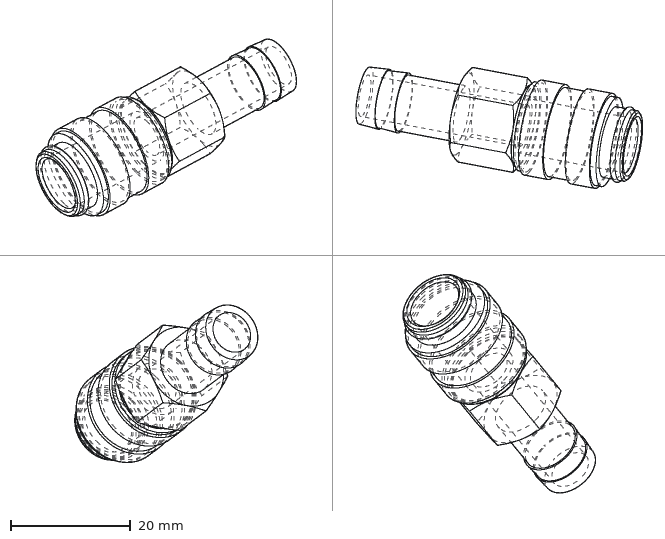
import cadquery as cq
import math

total_length = 47.0

tube_radius = 6.0
tip_chamfer = 0.35
bead_center = 1.6
bead_radius = 0.4

sleeve_start = 4.0
sleeve_end = 18.45
sleeve_radius = 7.6
band_radius = 8.108
band_width = 4.25
band_inset = 1.05
neck_radius = 6.9

nut_start = 19.1
nut_end = 30.0
nut_corner_radius = band_radius
nut_flat_radius = nut_corner_radius * math.cos(math.radians(30))
nut_chamfer_angle = 30

stem_radius = 4.8
barb_count = 2
barb_length = 3.408
barb_small_radius = 4.9
barb_large_radius = 5.1

through_radius = 3.52
socket_radius = 4.6
socket_mouth_radius = 5.08
socket_chamfer = socket_mouth_radius - socket_radius
socket_depth = nut_start


def cylinder(radius, start, end):
    """Cylinder along Y between two positions."""
    return cq.Workplane("XZ", origin=(0, start, 0)).circle(radius).extrude(start - end)


def revolve_profile(points):
    """Turn a closed (radius, Y) outline around the Y axis."""
    return cq.Workplane("XY").polyline(points).close().revolve(360, (0, 0, 0), (0, 1, 0))


def mouth_tube():
    tube = cylinder(tube_radius, 0, sleeve_start).faces("<Y").chamfer(tip_chamfer)
    bead = (
        cq.Workplane("XY")
        .center(tube_radius, bead_center)
        .circle(bead_radius)
        .revolve(360, (-tube_radius, 0, 0), (-tube_radius, 1, 0))
    )
    return tube.union(bead)


def grip_sleeve():
    sleeve = cylinder(sleeve_radius, sleeve_start, sleeve_end)
    front_band_start = sleeve_start + band_inset
    rear_band_start = sleeve_end - band_inset - band_width
    for start in (front_band_start, rear_band_start):
        sleeve = sleeve.union(cylinder(band_radius, start, start + band_width))
    return sleeve.union(cylinder(neck_radius, sleeve_end, nut_start))


def hex_nut():
    nut = (
        cq.Workplane("XZ", origin=(0, nut_start, 0))
        .polygon(6, 2 * nut_corner_radius)
        .extrude(nut_start - nut_end)
    )
    chamfer_depth = (nut_corner_radius - nut_flat_radius) * math.tan(math.radians(nut_chamfer_angle))
    bevel_envelope = revolve_profile([
        (0, nut_start),
        (nut_flat_radius, nut_start),
        (nut_corner_radius, nut_start + chamfer_depth),
        (nut_corner_radius, nut_end - chamfer_depth),
        (nut_flat_radius, nut_end),
        (0, nut_end),
    ])
    return nut.intersect(bevel_envelope)


def hose_stem():
    stem = cylinder(stem_radius, nut_end, total_length)
    for index in range(barb_count):
        tip = total_length - index * barb_length
        base = tip - barb_length
        barb = revolve_profile([
            (0, base),
            (barb_large_radius, base),
            (barb_small_radius, tip),
            (0, tip),
        ])
        stem = stem.union(barb)
    return stem


def bores():
    """Through bore widened into a chamfered socket at the mouth."""
    return revolve_profile([
        (0, 0),
        (socket_mouth_radius, 0),
        (socket_radius, socket_chamfer),
        (socket_radius, socket_depth),
        (through_radius, socket_depth),
        (through_radius, total_length),
        (0, total_length),
    ])


body = mouth_tube().union(grip_sleeve()).union(hex_nut()).union(hose_stem())
result = body.cut(bores())